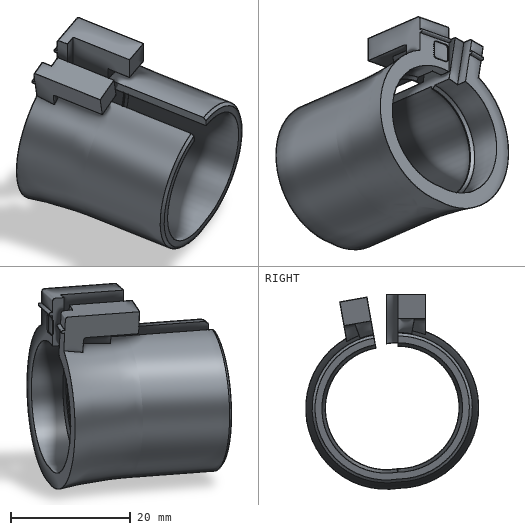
import cadquery as cq
import math


sleeve_length = 27.82
bore_radius = 10.85
sleeve_radius = 12.5
flare_radius = 13.58
flare_length = 12.2
rear_chamfer = 0.5
opening_angle = 10.0

lip_height = 0.6
lip_start = 5.5
lip_crest_start = 5.9
lip_crest_end = 6.1
lip_end = 6.45

lug_root = 10.47
lug_top = 18.98
lug_width = 4.65
lug_length = 12.95
lug_underside = 14.92
foot_length = 3.37
lug_round = 0.5
web_length = 8.8
web_base_height = 12.7
web_base_width = 2.4
web_taper_angle = 10.0

tongue_width = 1.93
notch_width = 2.0
tongue_length = 2.0

bead_height = 16.27
bead_radius = 0.3
bead_projection = 2 * bead_radius

panel_size = 3.1
panel_corner_radius = 0.52
panel_depth = 0.2
panel_center_y = -0.2
panel_center_z = 13.95


def make_half_sleeve():
    """Half shell on the +Y side, revolved about the bore axis."""
    flare_rise = flare_radius - sleeve_radius
    flare_arc_radius = (flare_length**2 + flare_rise**2) / (2 * flare_rise)
    crest_radius = bore_radius - lip_height
    upper_half = (
        cq.Workplane("XY")
        .moveTo(0, bore_radius)
        .lineTo(0, flare_radius)
        .radiusArc((flare_length, sleeve_radius), -flare_arc_radius)
        .lineTo(sleeve_length - rear_chamfer, sleeve_radius)
        .lineTo(sleeve_length, sleeve_radius - rear_chamfer)
        .lineTo(sleeve_length, bore_radius)
        .lineTo(lip_end, bore_radius)
        .lineTo(lip_crest_end, crest_radius)
        .lineTo(lip_crest_start, crest_radius)
        .lineTo(lip_start, bore_radius)
        .close()
        .revolve(180, (0, 0, 0), (1, 0, 0))
    )
    return upper_half.rotate((0, 0, 0), (1, 0, 0), -90)


def extrude_along_y(outline, start_y, end_y):
    """Extrude an outline on the XZ plane from start_y up to end_y."""
    return outline.extrude(start_y - end_y).translate((0, start_y, 0))


def make_lug():
    """Lug on the +Y side that overhangs the sleeve behind its foot."""
    outline = (
        cq.Workplane("XZ")
        .moveTo(0, lug_root)
        .lineTo(0, lug_top - lug_round)
        .radiusArc((lug_round, lug_top), lug_round)
        .lineTo(lug_length, lug_top)
        .lineTo(lug_length, lug_underside)
        .lineTo(foot_length + lug_round, lug_underside)
        .radiusArc((foot_length, lug_underside - lug_round), -lug_round)
        .lineTo(foot_length, lug_root)
        .close()
    )
    return extrude_along_y(outline, 0, lug_width)


def make_web():
    """Web under the lug along the parting plane, narrowing toward the sleeve."""
    taper = math.tan(math.radians(web_taper_angle))
    root_width = web_base_width - (web_base_height - lug_root) * taper
    top_width = web_base_width + (lug_underside - web_base_height) * taper
    return (
        cq.Workplane("YZ")
        .polyline([(0, lug_root), (root_width, lug_root), (top_width, lug_underside), (0, lug_underside)])
        .close()
        .extrude(web_length)
    )


def make_tongue():
    """Tongue at the front of the lug, reaching across the parting plane."""
    outline = (
        cq.Workplane("XZ")
        .moveTo(0, lug_root)
        .lineTo(0, lug_top - lug_round)
        .radiusArc((lug_round, lug_top), lug_round)
        .lineTo(tongue_length, lug_top)
        .lineTo(tongue_length, lug_root)
        .close()
    )
    return extrude_along_y(outline, -tongue_width, 0)


def make_bead(start_y):
    """Round-nosed bead on the front face, from start_y to the outer side of the lug."""
    nose_center_x = bead_radius - bead_projection
    outline = (
        cq.Workplane("XZ")
        .moveTo(0, bead_height - bead_radius)
        .lineTo(nose_center_x, bead_height - bead_radius)
        .threePointArc((-bead_projection, bead_height), (nose_center_x, bead_height + bead_radius))
        .lineTo(0, bead_height + bead_radius)
        .close()
    )
    return extrude_along_y(outline, start_y, lug_width)


def make_notch():
    """Clearance for the tongue, cut through the front of the opposite lug and wall."""
    return cq.Workplane("XY").box(tongue_length, notch_width, lug_top, centered=False)


def make_panel_recess():
    """Shallow rounded square in the front face."""
    return (
        cq.Workplane("XY")
        .box(panel_depth, panel_size, panel_size, centered=(False, True, True))
        .edges("|X")
        .fillet(panel_corner_radius)
        .translate((0, panel_center_y, panel_center_z))
    )


half_sleeve = make_half_sleeve()
lug = make_lug().union(make_web())
bore = cq.Workplane("YZ").circle(bore_radius).extrude(sleeve_length)

tongue_lug = lug.union(make_tongue()).cut(bore)
tongue_half = half_sleeve.union(tongue_lug).cut(make_panel_recess()).union(make_bead(-tongue_width))

notch_half = half_sleeve.union(lug.cut(bore)).cut(make_notch()).union(make_bead(notch_width))
hinge_start = (0, 0, -bore_radius)
hinge_end = (1, 0, -bore_radius)
opened_half = notch_half.mirror("XZ").rotate(hinge_start, hinge_end, opening_angle)

result = tongue_half.union(opened_half)